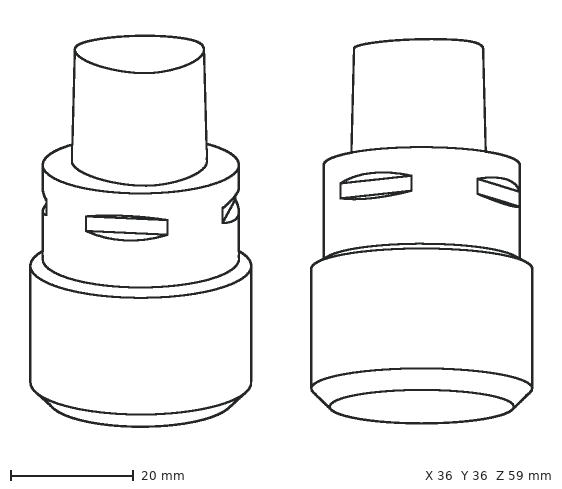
import cadquery as cq
import math

total_height = 59.0
shank_length = 19.0
collar_length = 16.0
collar_top_z = total_height - shank_length
nut_height = collar_top_z - collar_length

nut_radius = 18.0
bottom_chamfer = 3.0
top_bevel_angle = 30.0

collar_radius = 16.0
groove_count = 4
groove_first_angle = 45.0
groove_depth = 1.5
groove_floor_height = 2.5
groove_flare_angle = 30.0
groove_center_z = collar_top_z - 5.95

shank_base_width = 22.0
taper_ratio = 1 / 20
shank_top_width = shank_base_width - shank_length * taper_ratio
lobe_size = 0.7
lobe_count = 3
first_lobe_angle = 90.0
lobe_half_angle = 24.0
points_per_curve = 9


def lobe_point(angle, mean_radius, z):
    """Point of the three-lobed outline whose outward normal is at the given angle."""
    normal = math.radians(angle)
    lobe_phase = lobe_count * math.radians(angle - first_lobe_angle)
    reach = mean_radius + lobe_size * math.cos(lobe_phase)
    slide = -lobe_count * lobe_size * math.sin(lobe_phase)
    x = reach * math.cos(normal) - slide * math.sin(normal)
    y = reach * math.sin(normal) + slide * math.cos(normal)
    return cq.Vector(x, y, z)


def lobe_curve(start_angle, end_angle, mean_radius, z):
    """Smooth stretch of the outline between two normal angles."""
    step = (end_angle - start_angle) / (points_per_curve - 1)
    points = [lobe_point(start_angle + i * step, mean_radius, z) for i in range(points_per_curve)]
    return cq.Edge.makeSpline(points)


def lobe_outline(width, z):
    """Closed outline: each rounded lobe is followed by a flatter side."""
    spacing = 360 / lobe_count
    curves = []
    for i in range(lobe_count):
        lobe_angle = first_lobe_angle + i * spacing
        lobe_start = lobe_angle - lobe_half_angle
        lobe_end = lobe_angle + lobe_half_angle
        curves.append(lobe_curve(lobe_start, lobe_end, width / 2, z))
        curves.append(lobe_curve(lobe_end, lobe_start + spacing, width / 2, z))
    return cq.Wire.assembleEdges(curves)


def make_shank():
    base = lobe_outline(shank_base_width, collar_top_z)
    top = lobe_outline(shank_top_width, total_height)
    return cq.Workplane(cq.Solid.makeLoft([base, top], True))


def groove_cutter(angle):
    """Straight flat-bottomed groove with flared sides, facing the given angle."""
    floor_x = collar_radius - groove_depth
    outer_x = collar_radius + groove_depth
    floor_half = groove_floor_height / 2
    outer_half = floor_half + (outer_x - floor_x) * math.tan(math.radians(groove_flare_angle))
    return (
        cq.Workplane("XZ")
        .polyline([
            (floor_x, groove_center_z - floor_half),
            (outer_x, groove_center_z - outer_half),
            (outer_x, groove_center_z + outer_half),
            (floor_x, groove_center_z + floor_half),
        ])
        .close()
        .extrude(collar_radius, both=True)
        .rotate((0, 0, 0), (0, 0, 1), angle)
    )


def make_holder():
    """Collar and tapered shank in one piece, seated on the nut."""
    holder = cq.Workplane("XY", origin=(0, 0, nut_height)).circle(collar_radius).extrude(collar_length)
    for i in range(groove_count):
        holder = holder.cut(groove_cutter(groove_first_angle + i * 360 / groove_count))
    return holder.union(make_shank())


def make_nut():
    """Round nut, chamfered below and bevelled above down to the collar diameter."""
    bevel_height = (nut_radius - collar_radius) * math.tan(math.radians(top_bevel_angle))
    return (
        cq.Workplane("XZ")
        .polyline([
            (0, 0),
            (nut_radius - bottom_chamfer, 0),
            (nut_radius, bottom_chamfer),
            (nut_radius, nut_height - bevel_height),
            (collar_radius, nut_height),
            (0, nut_height),
        ])
        .close()
        .revolve(360, (0, 0), (0, 1))
    )


holder = make_holder()
nut = make_nut()
result = cq.Compound.makeCompound([holder.solids().val(), nut.val()])